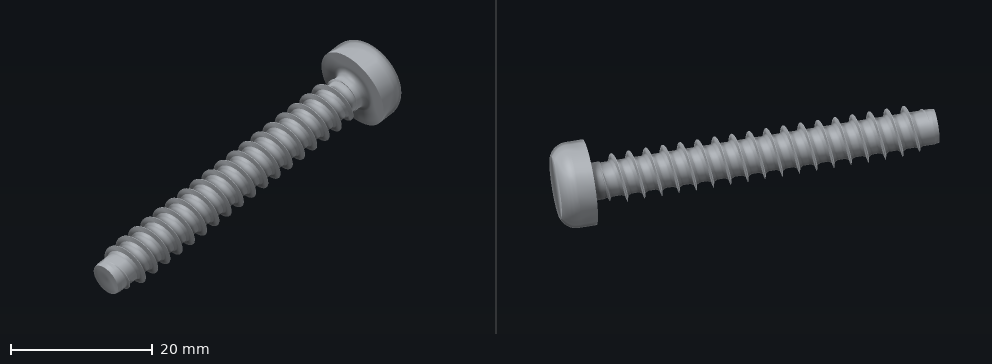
import cadquery as cq
import math

head_radius = 6.15
head_height = 4.89
head_rim_height = 2.5
crown_flat_radius = 4.55
shank_length = 50.0

neck_radius = 2.7
neck_fillet = 0.9
neck_length = 1.8
core_radius = 2.53
tip_radius = 2.4
tip_taper_length = 0.7
tip_dimple_depth = 0.2

thread_radius = 3.55
thread_pitch = 2.48
thread_foot_width = 1.9
thread_ridge_width = 0.46
thread_crest_width = 0.08
thread_foot_height = 0.25
thread_root_depth = 0.15
thread_start = 0.95
runout_turns = 1.1
thread_turns = 19.35


def make_body():
    """Head, neck and plain core as one revolved outline."""
    crown_height = head_height - head_rim_height
    crown_inset = head_radius - crown_flat_radius
    crown_radius = (crown_inset**2 + crown_height**2) / (2 * crown_inset)
    half_angle = math.asin(crown_height / crown_radius) / 2
    crown_mid_r = head_radius - crown_radius * (1 - math.cos(half_angle))
    crown_mid_z = -head_rim_height - crown_radius * math.sin(half_angle)
    fillet_mid = neck_fillet * (1 - math.sqrt(0.5))
    return (
        cq.Workplane("XZ")
        .moveTo(0, -head_height)
        .lineTo(crown_flat_radius, -head_height)
        .threePointArc((crown_mid_r, crown_mid_z), (head_radius, -head_rim_height))
        .lineTo(head_radius, 0)
        .lineTo(neck_radius + neck_fillet, 0)
        .threePointArc((neck_radius + fillet_mid, fillet_mid), (neck_radius, neck_fillet))
        .lineTo(neck_radius, neck_length)
        .lineTo(core_radius, neck_length)
        .lineTo(core_radius, shank_length - tip_taper_length)
        .lineTo(tip_radius, shank_length)
        .lineTo(0, shank_length - tip_dimple_depth)
        .close()
        .revolve(360, (0, 0, 0), (0, 1, 0))
    )


def make_helix(start_radius, end_radius, start_z, turns):
    """Right-hand helix from angle 0 at start_z, at the thread pitch, whose radius never shrinks."""
    height = thread_pitch * turns
    cone_angle = math.atan((end_radius - start_radius) / height)
    base = cq.Vector(0, 0, start_z)
    if cone_angle == 0:
        return cq.Wire.makeHelix(thread_pitch, height, start_radius, base).Edges()[0]
    slant = 1 / math.cos(cone_angle)
    helix = cq.Wire.makeHelix(
        thread_pitch * slant, height * slant, start_radius, base, angle=math.degrees(cone_angle)
    )
    return helix.Edges()[0]


def thread_profile(crest_radius, foot_top_radius):
    """Corners of the thread section as (radius, axial offset), from one foot edge to the other."""
    root_radius = core_radius - thread_root_depth
    upper = [
        (root_radius, thread_foot_width / 2),
        (foot_top_radius, thread_ridge_width / 2),
        (crest_radius, thread_crest_width / 2),
    ]
    return upper + [(radius, -offset) for radius, offset in reversed(upper)]


def thread_segment(start_profile, end_profile, turns):
    """Faces of one stretch of thread between two sections, starting at angle 0 and Z = 0."""
    helices = [
        make_helix(start_radius, end_radius, offset, turns)
        for (start_radius, offset), (end_radius, _) in zip(start_profile, end_profile)
    ]
    next_helices = helices[1:] + helices[:1]
    return [cq.Face.makeRuledSurface(a, b) for a, b in zip(helices, next_helices)]


def end_cap(profile):
    """Flat face closing the thread section at angle 0 and Z = 0."""
    corners = [cq.Vector(radius, 0, offset) for radius, offset in profile]
    return cq.Face.makeFromWires(cq.Wire.makePolygon(corners, close=True))


def place_at_turn(faces, turn):
    """Screw faces along the thread's helix by a number of turns."""
    shift = cq.Vector(0, 0, thread_start + thread_pitch * turn)
    axis = cq.Vector(0, 0, 1)
    return [face.rotate(cq.Vector(), axis, 360 * turn).translate(shift) for face in faces]


def make_thread():
    """Full-depth thread that rises from inside the core and sinks back into it."""
    full = thread_profile(thread_radius, core_radius + thread_foot_height)
    sunk = thread_profile(core_radius - thread_root_depth / 3, core_radius - 2 * thread_root_depth / 3)
    full_turns = thread_turns - 2 * runout_turns
    stretch_count = math.ceil(full_turns)
    stretch_turns = full_turns / stretch_count
    runout = thread_segment(sunk, full, runout_turns) + [end_cap(sunk)]
    turned_runout = [face.rotate(cq.Vector(), cq.Vector(1, 0, 0), 180) for face in runout]
    faces = place_at_turn(runout, 0)
    for index in range(stretch_count):
        stretch = thread_segment(full, full, stretch_turns)
        faces += place_at_turn(stretch, runout_turns + index * stretch_turns)
    faces += place_at_turn(turned_runout, thread_turns)
    return cq.Workplane(cq.Solid.makeSolid(cq.Shell.makeShell(faces)))


screw = make_body().union(make_thread(), clean=False)
result = screw.rotate((0, 0, 0), (1, 0, 0), 90)